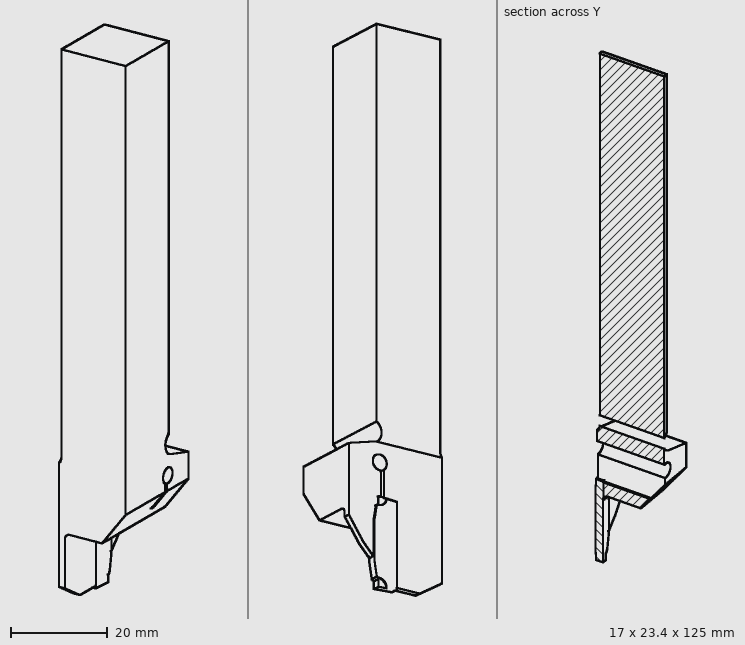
import cadquery as cq
import math

total_length = 125.0
total_depth = 23.4
shank_side = 16.0
total_width = 17.0

shank_left = total_width - shank_side
blade_left = 0.4
blade_right = 1.9
shoulder_z = 16.6
shoulder_fillet = 1.2
bevel_x = 11.1
bevel_top_z = 24.4
step_top_z = 33.6
step_radius = 2.0

head_bottom_z = 0.9
nose_bevel_y = 5.6
nose_bevel_z = 4.4
jaw_corner_z = 14.5
jaw_kink_y = 19.8
jaw_kink_z = 9.2
jaw_tip_y = 16.6
jaw_tip_z = 6.0
head_top_z = 30.4
head_top_angle = math.radians(15)
neck_radius = 2.6
neck_depth = 1.2

relief_hole_y = 15.6
relief_hole_z = 27.8
relief_hole_radius = 1.8
slit_y = 15.0
slit_width = 0.8

insert_length = 20.1
insert_back_y = 11.6
insert_front_y = 17.2
edge_y = 16.1
end_clearance = 0.2
shoulder_y = 16.6
flat_start_z = 5.8
edge_height = 1.8
taper_start_z = 2.1
corner_radius = 0.19
dish_radius = 2.0
dish_depth = 0.1


def yz_plane(x):
    """Work plane with local axes Y and Z, placed at the given X."""
    return cq.Workplane("YZ", origin=(x, 0, 0))


def insert_outline(plane):
    """Double-ended insert outline, the same at both tips."""
    lower = [
        (insert_back_y, end_clearance),
        (edge_y, 0),
        (edge_y, edge_height),
        (shoulder_y, taper_start_z),
        (insert_front_y, flat_start_z),
    ]
    upper = [(y, insert_length - z) for y, z in reversed(lower)]
    return plane.polyline(lower + upper).close()


def tip_dishes():
    """Shallow round recess in the left side of each insert tip, around the cutting edge."""
    tips = [(edge_y, 0), (edge_y, insert_length)]
    return yz_plane(0).pushPoints(tips).circle(dish_radius).extrude(dish_depth)


def make_insert():
    """Insert with rounded end corners and a dish beside each cutting edge."""
    blank = insert_outline(yz_plane(0)).extrude(blade_right)
    rounded = blank.faces("<Z or >Z").edges("<X or >X").fillet(corner_radius)
    return rounded.cut(tip_dishes())


def width_profile():
    """Shank, shoulder and blade: an XZ outline extruded over the full depth."""
    step_depth = shank_left - blade_left
    sweep = math.acos(1 - step_depth / step_radius)
    step_bottom_z = step_top_z - step_radius * math.sin(sweep)
    step_mid = (
        shank_left - step_radius * (1 - math.cos(sweep / 2)),
        step_top_z - step_radius * math.sin(sweep / 2),
    )
    fillet_mid = shoulder_fillet * (1 - math.sqrt(0.5))
    return (
        cq.Workplane("XZ")
        .moveTo(shank_left, total_length)
        .lineTo(shank_left, step_top_z)
        .threePointArc(step_mid, (blade_left, step_bottom_z))
        .lineTo(blade_left, 0)
        .lineTo(blade_right, 0)
        .lineTo(blade_right, shoulder_z - shoulder_fillet)
        .threePointArc(
            (blade_right + fillet_mid, shoulder_z - fillet_mid),
            (blade_right + shoulder_fillet, shoulder_z),
        )
        .lineTo(bevel_x, shoulder_z)
        .lineTo(total_width, bevel_top_z)
        .lineTo(total_width, total_length)
        .close()
        .extrude(-total_depth)
    )


def head_profile():
    """Shank and clamping head: a YZ outline extruded over the full width."""
    neck_y = shank_side - neck_depth + neck_radius
    tangent_y = neck_y - neck_radius * math.sin(head_top_angle)
    tangent_z = head_top_z + (total_depth - tangent_y) * math.tan(head_top_angle)
    neck_z = tangent_z + neck_radius * math.cos(head_top_angle)
    neck_top_z = neck_z + math.sqrt(neck_radius**2 - (neck_y - shank_side) ** 2)
    return (
        yz_plane(0)
        .moveTo(0, total_length)
        .lineTo(0, nose_bevel_z)
        .lineTo(nose_bevel_y, head_bottom_z)
        .lineTo(insert_back_y, head_bottom_z)
        .lineTo(jaw_tip_y, jaw_tip_z)
        .lineTo(jaw_kink_y, jaw_kink_z)
        .lineTo(total_depth, jaw_corner_z)
        .lineTo(total_depth, head_top_z)
        .lineTo(tangent_y, tangent_z)
        .threePointArc((neck_y - neck_radius, neck_z), (shank_side, neck_top_z))
        .lineTo(shank_side, total_length)
        .close()
        .extrude(total_width)
    )


def clamping_slit():
    """Round relief hole and the narrow slit from it down to the insert."""
    hole = yz_plane(0).center(relief_hole_y, relief_hole_z).circle(relief_hole_radius).extrude(total_width)
    slit_bottom_z = insert_length - end_clearance
    slit_height = relief_hole_z - slit_bottom_z
    slit = (
        yz_plane(0)
        .center(slit_y, slit_bottom_z + slit_height / 2)
        .rect(slit_width, slit_height)
        .extrude(total_width)
    )
    return hole.union(slit)


def make_holder():
    """Holder with an open-sided pocket through the blade for the insert."""
    pocket = insert_outline(yz_plane(0)).extrude(blade_right)
    return width_profile().intersect(head_profile()).cut(clamping_slit()).cut(pocket)


holder = make_holder()
insert = make_insert()
result = cq.Compound.makeCompound([holder.val(), insert.val()])